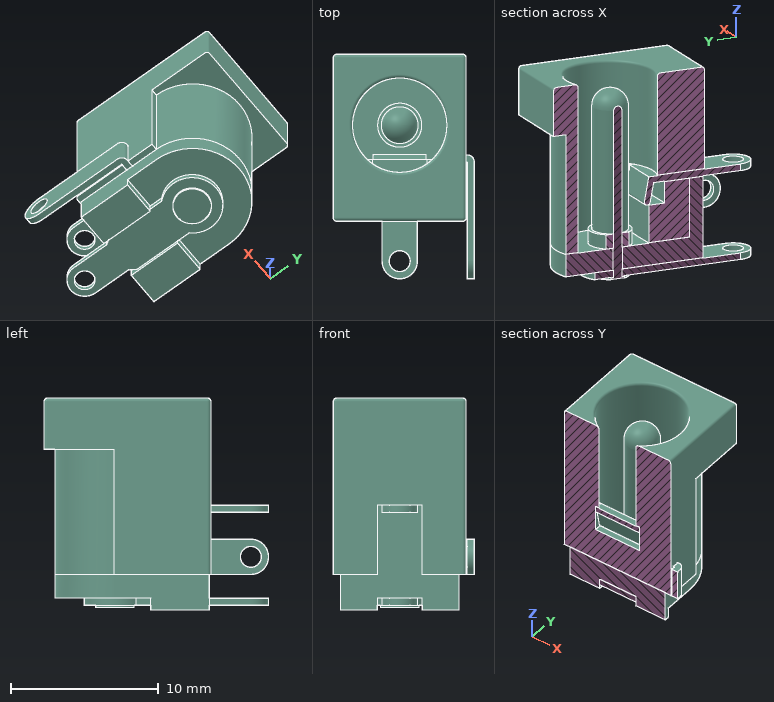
import cadquery as cq
import math


HOUSING_WIDTH = 9.0
HOUSING_FRONT = -6.5
HOUSING_BACK = 4.8
HOUSING_TOP = 11.95
EDGE_RADIUS = 0.25
BARREL_RADIUS = 4.01
BARREL_CENTRE_Y = 0.05
HEAD_BOTTOM = 8.47
BORE_RADIUS = 3.19
BORE_ROUNDING = 0.23
LEDGE_FRONT = -2.31

COVER_FRONT = -6.38
COVER_BOTTOM = -1.6
FOOT_BOTTOM = -2.4
FOOT_BACK = -2.42
SLOT_WIDTH = 3.02
TONGUE_DEPTH = 1.0

TERMINAL_WIDTH = 2.4
TERMINAL_THICKNESS = 0.49
TERMINAL_TIP = -10.4
TERMINAL_HOLE = 1.4
TIP_CENTRE = TERMINAL_TIP + TERMINAL_WIDTH / 2

LEDGE_TOP = 4.7
CONTACT_WIDTH = 3.68
CONTACT_ROOT = -3.5
SPRING_WIDTH = 3.59
SPRING_DROP = 2.0
SPRING_TIP = -1.93
SPRING_TIP_RADIUS = 0.23

RIVET_EYE_RADIUS = 2.08
TAPER_LENGTH = 0.49

SWITCH_OUTER_X = 5.05
SWITCH_BACK = -2.0
SWITCH_LEG_END = 3.5
SWITCH_BEND_RADIUS = 0.47

PIN_RADIUS = 1.25
PIN_TOP = 10.95
RIVET_RADIUS = 1.3
RIVET_BOTTOM = -2.23
COLLAR_RADIUS = 1.49
COLLAR_HEIGHT = 1.0


def block(x_range, y_range, z_range):
    """Box between the given limits."""
    limits = (x_range, y_range, z_range)
    sizes = [high - low for low, high in limits]
    corner = [low for low, high in limits]
    return cq.Workplane("XY").box(*sizes, centered=False).translate(tuple(corner))


def centred_block(width, y_range, z_range):
    """Box that is symmetric about X = 0."""
    return block((-width / 2, width / 2), y_range, z_range)


def cylinder(radius, bottom, top, y=0):
    """Upright cylinder on X = 0."""
    return cq.Workplane("XY").workplane(offset=bottom).center(0, y).circle(radius).extrude(top - bottom)


def tab(inner_y):
    """Flat terminal strip with a round, drilled tip; its underside is on Z = 0."""
    half = TERMINAL_WIDTH / 2
    return (
        cq.Workplane("XY")
        .moveTo(half, inner_y)
        .lineTo(half, TIP_CENTRE)
        .threePointArc((0, TERMINAL_TIP), (-half, TIP_CENTRE))
        .lineTo(-half, inner_y)
        .close()
        .extrude(TERMINAL_THICKNESS)
        .cut(cylinder(TERMINAL_HOLE / 2, 0, TERMINAL_THICKNESS, TIP_CENTRE))
    )


def make_pin():
    """Round-nosed pin that ends in a rivet head under the pin terminal."""
    rivet_top = COVER_BOTTOM - TERMINAL_THICKNESS
    nose_base = PIN_TOP - PIN_RADIUS
    nose_point = PIN_RADIUS * math.sqrt(0.5)
    return (
        cq.Workplane("XZ")
        .moveTo(0, RIVET_BOTTOM)
        .lineTo(RIVET_RADIUS, RIVET_BOTTOM)
        .lineTo(RIVET_RADIUS, rivet_top)
        .lineTo(PIN_RADIUS, rivet_top)
        .lineTo(PIN_RADIUS, nose_base)
        .threePointArc((nose_point, nose_base + nose_point), (0, PIN_TOP))
        .close()
        .revolve(360, (0, 0), (0, 1))
    )


def make_collar():
    """Ring around the foot of the pin, standing on the cover."""
    return cylinder(COLLAR_RADIUS, 0, COLLAR_HEIGHT).cut(cylinder(PIN_RADIUS, 0, COLLAR_HEIGHT))


def make_sleeve_terminal():
    """Terminal strip that widens in the bore and bends down into a leaf spring."""
    bottom = LEDGE_TOP - TERMINAL_THICKNESS
    spring_bottom = LEDGE_TOP - SPRING_DROP
    strip = tab(CONTACT_ROOT).translate((0, 0, bottom))
    plate = centred_block(CONTACT_WIDTH, (CONTACT_ROOT, LEDGE_FRONT), (bottom, LEDGE_TOP))
    spring = (
        cq.Workplane("YZ")
        .moveTo(LEDGE_FRONT, LEDGE_TOP)
        .lineTo(SPRING_TIP, spring_bottom)
        .lineTo(SPRING_TIP - TERMINAL_THICKNESS, spring_bottom)
        .lineTo(LEDGE_FRONT - TERMINAL_THICKNESS, LEDGE_TOP)
        .close()
        .extrude(SPRING_WIDTH / 2, both=True)
        .edges("<Z")
        .fillet(SPRING_TIP_RADIUS)
    )
    return strip.union(plate).union(spring)


def make_pin_terminal():
    """Terminal strip that widens to a round eye around the rivet."""
    bottom = COVER_BOTTOM - TERMINAL_THICKNESS
    taper_start = COVER_FRONT + TAPER_LENGTH
    neck = (
        cq.Workplane("XY")
        .polyline([
            (-SLOT_WIDTH / 2, 0),
            (-SLOT_WIDTH / 2, taper_start),
            (-TERMINAL_WIDTH / 2, COVER_FRONT),
            (TERMINAL_WIDTH / 2, COVER_FRONT),
            (SLOT_WIDTH / 2, taper_start),
            (SLOT_WIDTH / 2, 0),
        ])
        .close()
        .extrude(TERMINAL_THICKNESS)
    )
    eye = cylinder(RIVET_EYE_RADIUS, 0, TERMINAL_THICKNESS)
    pin_hole = cylinder(PIN_RADIUS, 0, TERMINAL_THICKNESS)
    return tab(COVER_FRONT).union(neck).union(eye).cut(pin_hole).translate((0, 0, bottom))


def make_switch_terminal():
    """Upright terminal strip along the side wall, with a leg bent into the housing."""
    inner_x = SWITCH_OUTER_X - TERMINAL_THICKNESS
    strip = (
        tab(SWITCH_BACK)
        .rotate((0, 0, 0), (0, 1, 0), 90)
        .translate((inner_x, 0, TERMINAL_WIDTH / 2))
    )
    leg = block(
        (SWITCH_LEG_END, SWITCH_OUTER_X),
        (SWITCH_BACK - TERMINAL_THICKNESS, SWITCH_BACK),
        (0, TERMINAL_WIDTH),
    )
    bend_edge = cq.selectors.NearestToPointSelector((SWITCH_OUTER_X, SWITCH_BACK, TERMINAL_WIDTH / 2))
    return strip.union(leg).edges(bend_edge).fillet(SWITCH_BEND_RADIUS)


def make_cover(sleeve_terminal):
    """Bottom plate with a slotted foot and a tongue up the front of the housing."""
    width = 2 * BARREL_RADIUS
    plate = centred_block(width, (COVER_FRONT, BARREL_CENTRE_Y), (COVER_BOTTOM, 0))
    plate = plate.union(cylinder(BARREL_RADIUS, COVER_BOTTOM, 0, BARREL_CENTRE_Y))
    foot = centred_block(width, (COVER_FRONT, FOOT_BACK), (FOOT_BOTTOM, COVER_BOTTOM))
    slot = centred_block(SLOT_WIDTH, (COVER_FRONT, FOOT_BACK), (FOOT_BOTTOM, COVER_BOTTOM))
    tongue = centred_block(SLOT_WIDTH, (COVER_FRONT, COVER_FRONT + TONGUE_DEPTH), (0, LEDGE_TOP))
    return (
        plate.union(foot.cut(slot))
        .union(tongue)
        .cut(sleeve_terminal)
        .cut(cylinder(PIN_RADIUS, COVER_BOTTOM, 0))
    )


def housing_outside():
    """Rounded box, its back cut away below the head and replaced by a round barrel."""
    body = centred_block(HOUSING_WIDTH, (HOUSING_FRONT, HOUSING_BACK), (0, HOUSING_TOP))
    body = body.edges("|Z or >Z").fillet(EDGE_RADIUS)
    under_head = centred_block(HOUSING_WIDTH, (BARREL_CENTRE_Y, HOUSING_BACK), (0, HEAD_BOTTOM))
    return body.cut(under_head).union(cylinder(BARREL_RADIUS, 0, HEAD_BOTTOM, BARREL_CENTRE_Y))


def bore():
    """Plug bore, flattened at the front by the ledge in its lower part."""
    ledge = centred_block(HOUSING_WIDTH, (HOUSING_FRONT, LEDGE_FRONT), (0, LEDGE_TOP))
    return cylinder(BORE_RADIUS, 0, HOUSING_TOP).cut(ledge)


def make_housing(sleeve_terminal, switch_terminal):
    """Housing with its bore, mouth rounding, and room for the tongue and terminals."""
    mouth = cq.selectors.RadiusNthSelector(-1)
    housing = housing_outside().cut(bore())
    housing = housing.faces(">Z").edges("%CIRCLE").edges(mouth).fillet(BORE_ROUNDING)
    tongue_slot = centred_block(SLOT_WIDTH, (HOUSING_FRONT, COVER_FRONT + TONGUE_DEPTH), (0, LEDGE_TOP))
    spring_pocket = centred_block(
        CONTACT_WIDTH, (CONTACT_ROOT, LEDGE_FRONT), (LEDGE_TOP - SPRING_DROP, LEDGE_TOP)
    )
    return housing.cut(tongue_slot).cut(spring_pocket).cut(sleeve_terminal).cut(switch_terminal)


pin = make_pin()
collar = make_collar()
sleeve_terminal = make_sleeve_terminal()
pin_terminal = make_pin_terminal()
switch_terminal = make_switch_terminal()
cover = make_cover(sleeve_terminal)
housing = make_housing(sleeve_terminal, switch_terminal)

result = cq.Compound.makeCompound([
    housing.val(),
    cover.val(),
    pin.val(),
    collar.val(),
    sleeve_terminal.val(),
    pin_terminal.val(),
    switch_terminal.val(),
])